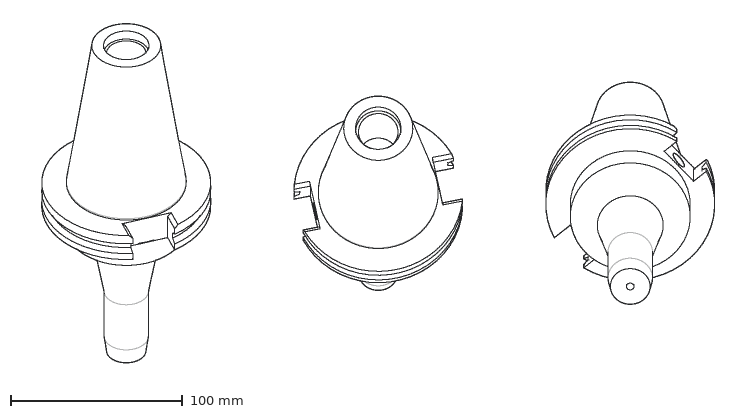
import cadquery as cq
import math

gauge_diameter = 69.85
taper_ratio = 7 / 24
taper_length = 101.6
taper_top_diameter = gauge_diameter - taper_ratio * taper_length

flange_diameter = 98.425
flange_top = -1.0
flange_bottom = -19.05
groove_floor_diameter = 91.9
groove_middle = -10.9
groove_floor_width = 3.6
groove_side_angle = 30.0

nose_length = 127.0
body_bottom = -35.0
body_cone_bottom = -46.5
neck_top_diameter = 38.4
neck_bottom = -82.3
stem_diameter = 26.0
tip_length = 10.9
tip_diameter = 23.2

slot_width = 25.908
slot_floor_left = 37.7
slot_floor_right = 35.3
slot_chamfer = 2.2

recess_diameter = 9.9
recess_depth = 0.2

counterbore_diameter = 26.4
counterbore_depth = 6.0
drawbar_bore_diameter = 23.0
drawbar_bore_depth = 45.0
screw_bore_diameter = 8.2
screw_bore_depth = 90.0
coolant_hole_diameter = 4.4


def revolved_body():
    flange_radius = flange_diameter / 2
    floor_radius = groove_floor_diameter / 2
    gauge_radius = gauge_diameter / 2
    side_height = (flange_radius - floor_radius) * math.tan(math.radians(groove_side_angle))
    half_floor = groove_floor_width / 2
    half_mouth = half_floor + side_height
    outline = [
        (0, taper_length),
        (taper_top_diameter / 2, taper_length),
        (gauge_radius, 0),
        (gauge_radius, flange_top),
        (flange_radius, flange_top),
        (flange_radius, groove_middle + half_mouth),
        (floor_radius, groove_middle + half_floor),
        (floor_radius, groove_middle - half_floor),
        (flange_radius, groove_middle - half_mouth),
        (flange_radius, flange_bottom),
        (gauge_radius, flange_bottom),
        (gauge_radius, body_bottom),
        (neck_top_diameter / 2, body_cone_bottom),
        (stem_diameter / 2, neck_bottom),
        (stem_diameter / 2, tip_length - nose_length),
        (tip_diameter / 2, -nose_length),
        (0, -nose_length),
    ]
    return cq.Workplane("XZ").polyline(outline).close().revolve(360, (0, 0), (0, 1))


def drive_slot(floor_distance, side):
    """Slot through the flange, chamfered at its upper edges; side is -1 for -X, +1 for +X."""
    half_width = slot_width / 2
    half_mouth = half_width + slot_chamfer
    section = [
        (-half_width, flange_bottom),
        (half_width, flange_bottom),
        (half_width, flange_top - slot_chamfer),
        (half_mouth, flange_top),
        (-half_mouth, flange_top),
        (-half_width, flange_top - slot_chamfer),
    ]
    reach = flange_diameter / 2
    return (
        cq.Workplane("YZ", origin=(side * floor_distance, 0, 0))
        .polyline(section)
        .close()
        .extrude(side * reach)
    )


def slot_recess():
    return (
        cq.Workplane("YZ", origin=(-slot_floor_left, 0, groove_middle))
        .circle(recess_diameter / 2)
        .extrude(recess_depth)
    )


def bore(diameter, depth):
    """Round bore of the given depth, measured down from the taper end."""
    return cq.Workplane("XY", origin=(0, 0, taper_length)).circle(diameter / 2).extrude(-depth)


result = revolved_body()
result = result.cut(drive_slot(slot_floor_left, -1))
result = result.cut(drive_slot(slot_floor_right, 1))
result = result.cut(slot_recess())
result = result.cut(bore(counterbore_diameter, counterbore_depth))
result = result.cut(bore(drawbar_bore_diameter, drawbar_bore_depth))
result = result.cut(bore(screw_bore_diameter, screw_bore_depth))
result = result.cut(bore(coolant_hole_diameter, taper_length + nose_length))